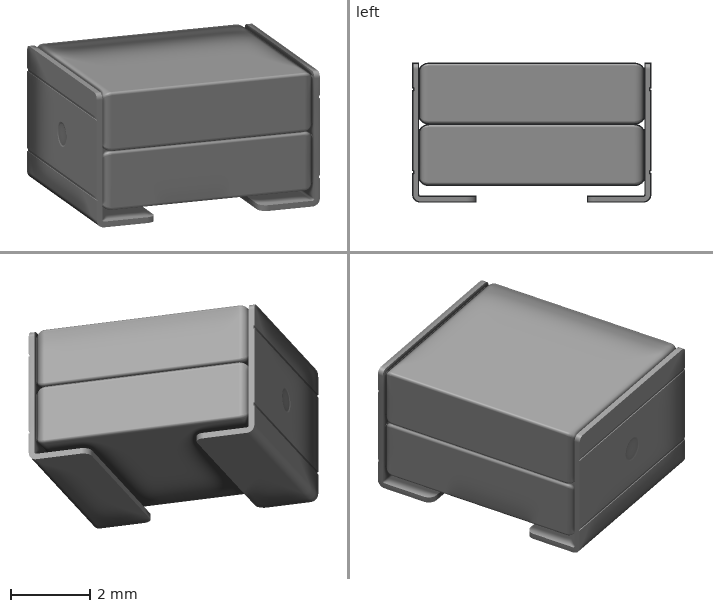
import cadquery as cq

width = 5.0
length = 6.0
height = 3.5

plate_thickness = 0.15
bend_outer_radius = 0.2
foot_length = 1.6
foot_corner_radius = 0.235
plate_corner_radius = 0.15

mark_center_z = 1.8
groove_offset = 1.045
groove_width = 0.07
groove_depth = 0.025
dimple_diameter = 0.64
dimple_floor_diameter = 0.55
dimple_depth = 0.01

bond_thickness = 0.02
end_bond_inset = 0.12
end_bond_corner_radius = 0.07

chip_count = 2
chip_bottom_z = 0.42
chip_pitch = (height - chip_bottom_z + bond_thickness) / chip_count
chip_height = chip_pitch - bond_thickness
chip_length = length - 2 * plate_thickness
chip_end_radius = 0.25
chip_edge_radius = 0.07

outer_y = -length / 2


def make_terminal():
    """L-shaped terminal at the -Y end, foot pointing toward +Y."""
    terminal = (
        cq.Workplane("YZ")
        .moveTo(outer_y, 0)
        .lineTo(outer_y + foot_length, 0)
        .lineTo(outer_y + foot_length, plate_thickness)
        .lineTo(outer_y + plate_thickness, plate_thickness)
        .lineTo(outer_y + plate_thickness, height)
        .lineTo(outer_y, height)
        .close()
        .extrude(width / 2, both=True)
    )
    inner_bend = cq.selectors.NearestToPointSelector((0, outer_y + plate_thickness, plate_thickness))
    terminal = terminal.edges("|X and <Y and <Z").fillet(bend_outer_radius)
    terminal = terminal.edges(inner_bend).fillet(bend_outer_radius - plate_thickness)
    terminal = terminal.faces(">Z").edges("|Y").fillet(plate_corner_radius)
    terminal = terminal.faces(">Y").edges("|Z").fillet(foot_corner_radius)
    groove = cq.Workplane("XY").box(width, 2 * groove_depth, groove_width)
    for side in (-1, 1):
        terminal = terminal.cut(groove.translate((0, outer_y, mark_center_z + side * groove_offset)))
    return terminal.cut(make_dimple())


def make_dimple():
    """Tapered round recess, wide at the outer face."""
    return (
        cq.Workplane("XZ", origin=(0, outer_y, mark_center_z))
        .circle(dimple_diameter / 2)
        .workplane(offset=-dimple_depth)
        .circle(dimple_floor_diameter / 2)
        .loft()
    )


def make_chip():
    """Chip centred on the origin: rounded ends, softened long edges, a bonding layer on both ends."""
    chip = cq.Workplane("XY").box(width, chip_length, chip_height)
    chip = chip.edges("|X or |Z").fillet(chip_end_radius)
    chip = chip.edges("|Y").fillet(chip_edge_radius)
    bond = cq.Workplane("XY").box(
        width - 2 * end_bond_inset, bond_thickness, chip_height - 2 * end_bond_inset
    )
    bond = bond.edges("|Y").fillet(end_bond_corner_radius)
    bond_y = (chip_length - bond_thickness) / 2
    for side in (-1, 1):
        chip = chip.union(bond.translate((0, side * bond_y, 0)))
    return chip


def make_middle_bond():
    """Thin layer joining the flat faces of two stacked chips."""
    bond_width = width - 2 * chip_edge_radius
    bond_length = chip_length - 2 * chip_end_radius
    return cq.Workplane("XY").box(bond_width, bond_length, bond_thickness)


front_terminal = make_terminal()
result = front_terminal.union(front_terminal.mirror("XZ"))
for level in range(chip_count):
    chip_center_z = chip_bottom_z + chip_height / 2 + level * chip_pitch
    result = result.union(make_chip().translate((0, 0, chip_center_z)))
    if level > 0:
        result = result.union(make_middle_bond().translate((0, 0, chip_center_z - chip_pitch / 2)))